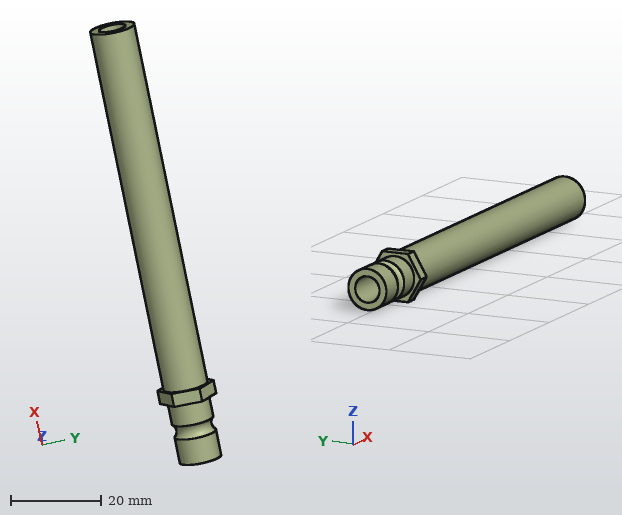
import cadquery as cq
import math

total_length = 100.0
tube_radius = 5.0
plug_radius = 4.7
bore_radius = 3.0

groove_start = 5.9
groove_width = 3.1
groove_depth = 0.7

hex_start = 14.0
hex_width = 3.0
hex_across_flats = 11.0
hex_across_corners = hex_across_flats / math.cos(math.pi / 6)


def make_body():
    """Revolve the stepped outline of the plug end and the tube around the X axis."""
    groove_middle = groove_start + groove_width / 2
    groove_end = groove_start + groove_width
    hex_middle = hex_start + hex_width / 2
    outline = (
        cq.Workplane("XY")
        .lineTo(0, plug_radius)
        .lineTo(groove_start, plug_radius)
        .threePointArc((groove_middle, plug_radius - groove_depth), (groove_end, plug_radius))
        .lineTo(hex_middle, plug_radius)
        .lineTo(hex_middle, tube_radius)
        .lineTo(total_length, tube_radius)
        .lineTo(total_length, 0)
        .close()
    )
    return outline.revolve(360, (0, 0, 0), (1, 0, 0))


def make_hex_collar():
    """Hexagonal collar with two corners on the Y axis."""
    return (
        cq.Workplane("YZ", origin=(hex_start, 0, 0))
        .polygon(6, hex_across_corners)
        .extrude(hex_width)
    )


def make_bore():
    """Round passage through the whole length."""
    return cq.Workplane("YZ").circle(bore_radius).extrude(total_length)


result = make_body().union(make_hex_collar()).cut(make_bore())